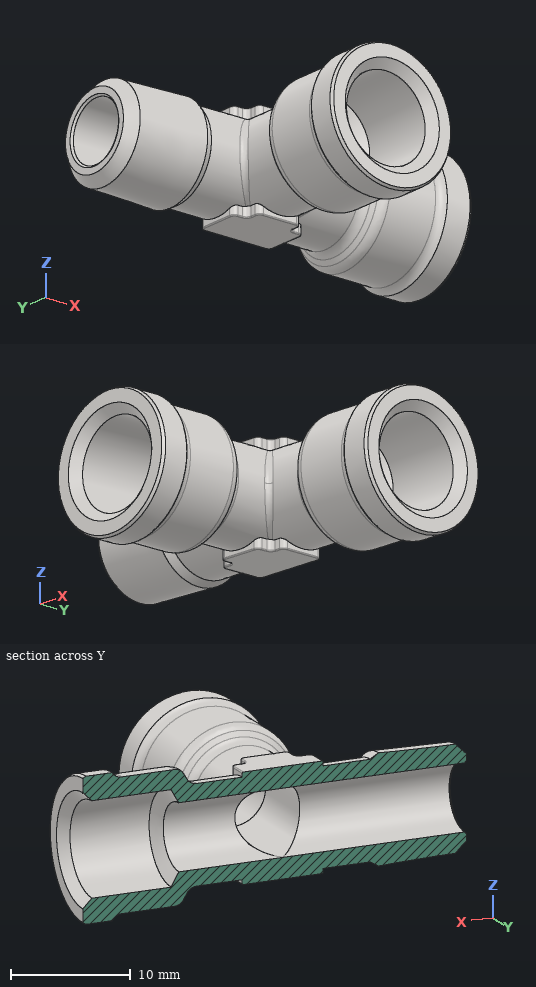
import cadquery as cq
import math

overall_length = 35.5
female_reach = 18.5
male_reach = overall_length - female_reach

tube_radius = 9.0 / 2
bore_radius = 6.0 / 2
crotch_fillet = 0.5

body_radius = 12.0 / 2
collar_radius = 13.0 / 2
collar_length = 2.75
collar_chamfer_length = 0.3
collar_chamfer_depth = 0.18
shoulder_start = 8.55
shoulder_angle = math.radians(60)
shoulder_fillet = 1.0
neck_radius = 1.0
socket_radius = 8.5 / 2
socket_mouth_radius = 5.08
socket_mouth_depth = 0.85
socket_depth = 8.15
socket_floor_half_angle = math.radians(60)

male_large_radius = 4.97
male_small_radius = 4.8
male_tip_radius = 3.85
male_tip_length = 1.03
male_length = 8.15
male_back_length = 0.78
male_bore_radius = 3.2
male_bore_chamfer = male_bore_radius - bore_radius

pad_height = 4.95
pad_half_width = 3.75
pad_back = 2.27
pad_step = -2.15
pad_tongue_half_width = 2.27
pad_front = -3.7
pad_corner_radius = 0.5
pad_edge_round = 0.1


def revolve_x(profile):
    """Turn a closed (x, radius) profile about the X axis."""
    return profile.close().revolve(360, (0, 0, 0), (1, 0, 0))


def to_branch(body):
    """Turn a body from the +X direction to the -Y direction."""
    return body.rotate((0, 0, 0), (0, 0, 1), -90)


def female_end():
    shoulder_end = shoulder_start + (body_radius - tube_radius) / math.tan(shoulder_angle)
    collar_start = female_reach - collar_length
    neck_angle = math.acos(1 - (collar_radius - body_radius) / neck_radius)
    neck_start = collar_start - neck_radius * math.sin(neck_angle)
    overlap_start = shoulder_start - 2 * shoulder_fillet
    blank = revolve_x(
        cq.Workplane("XY")
        .moveTo(overlap_start, 0)
        .lineTo(overlap_start, tube_radius)
        .lineTo(shoulder_start, tube_radius)
        .lineTo(shoulder_end, body_radius)
        .lineTo(neck_start, body_radius)
        .tangentArcPoint((collar_start, collar_radius), relative=False)
        .lineTo(female_reach - collar_chamfer_length, collar_radius)
        .lineTo(female_reach, collar_radius - collar_chamfer_depth)
        .lineTo(female_reach, 0)
    )
    shoulder_zone = cq.selectors.BoxSelector(
        (shoulder_start - shoulder_fillet, -collar_radius, -collar_radius),
        (shoulder_end + shoulder_fillet, collar_radius, collar_radius),
    )
    return blank.edges("%CIRCLE").edges(shoulder_zone).fillet(shoulder_fillet)


def female_socket():
    wall_end = female_reach - socket_depth
    cone_length = (socket_radius - bore_radius) / math.tan(socket_floor_half_angle)
    return revolve_x(
        cq.Workplane("XY")
        .moveTo(0, 0)
        .lineTo(0, bore_radius)
        .lineTo(wall_end - cone_length, bore_radius)
        .lineTo(wall_end, socket_radius)
        .lineTo(female_reach - socket_mouth_depth, socket_radius)
        .lineTo(female_reach, socket_mouth_radius)
        .lineTo(female_reach, 0)
    )


def male_end():
    back = male_length - male_reach
    return revolve_x(
        cq.Workplane("XY")
        .moveTo(-male_reach, 0)
        .lineTo(-male_reach, male_tip_radius)
        .lineTo(male_tip_length - male_reach, male_small_radius)
        .lineTo(back, male_large_radius)
        .lineTo(back + male_back_length, tube_radius)
        .lineTo(back + male_back_length, 0)
    )


def male_bore():
    return revolve_x(
        cq.Workplane("XY")
        .moveTo(-male_reach, 0)
        .lineTo(-male_reach, male_bore_radius)
        .lineTo(male_bore_chamfer - male_reach, bore_radius)
        .lineTo(0, bore_radius)
        .lineTo(0, 0)
    )


def tube_tee():
    run = cq.Workplane("YZ").circle(tube_radius).extrude(shoulder_start, both=True)
    branch = cq.Workplane("XZ").circle(tube_radius).extrude(shoulder_start)
    tee = run.union(branch)
    return tee.edges("not (%CIRCLE or %LINE)").fillet(crotch_fillet)


def pads():
    """One block through the crossing; only its top and bottom stand proud of the tubes."""
    block = (
        cq.Workplane("XY")
        .moveTo(-pad_half_width, pad_back)
        .lineTo(pad_half_width, pad_back)
        .lineTo(pad_half_width, pad_step)
        .lineTo(pad_tongue_half_width, pad_step)
        .lineTo(pad_tongue_half_width, pad_front)
        .lineTo(-pad_tongue_half_width, pad_front)
        .lineTo(-pad_tongue_half_width, pad_step)
        .lineTo(-pad_half_width, pad_step)
        .close()
        .extrude(pad_height, both=True)
    )
    return block.edges("|Z").fillet(pad_corner_radius).faces("|Z").edges().fillet(pad_edge_round)


result = (
    tube_tee()
    .union(male_end())
    .union(female_end())
    .union(to_branch(female_end()))
    .union(pads())
    .cut(male_bore())
    .cut(female_socket())
    .cut(to_branch(female_socket()))
)